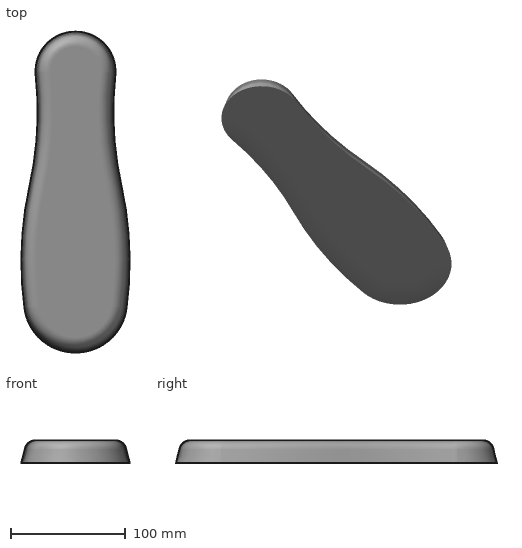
import cadquery as cq
import math

LENGTH = 279.81
WIDTH = 94.62
HEIGHT = 20.0

HEAD_RADIUS = 35.0
NECK_RADIUS = 295.0
BULGE_RADIUS = 305.0
TAIL_RADIUS = 45.0

DRAFT_ANGLE = 14.0
TOP_FILLET = 10.0


def point_between(start, end, distance):
    """Point at the given distance from start on the line towards end."""
    ratio = distance / math.dist(start, end)
    return (
        start[0] + ratio * (end[0] - start[0]),
        start[1] + ratio * (end[1] - start[1]),
    )


def bulge_center(tail):
    """Centre of the bulge arc: it reaches the full width and holds the tail arc inside it."""
    x = WIDTH / 2 - BULGE_RADIUS
    rise = math.sqrt((BULGE_RADIUS - TAIL_RADIUS) ** 2 - x**2)
    return (x, tail[1] + rise)


def neck_center(head, bulge):
    """Centre of the concave neck arc, which touches the head and bulge arcs from outside."""
    to_bulge = NECK_RADIUS + BULGE_RADIUS
    to_head = NECK_RADIUS + HEAD_RADIUS
    span = math.dist(bulge, head)
    along = (to_bulge**2 - to_head**2 + span**2) / (2 * span)
    across = math.sqrt(to_bulge**2 - along**2)
    foot = point_between(bulge, head, along)
    return (
        foot[0] + across * (head[1] - bulge[1]) / span,
        foot[1] - across * (head[0] - bulge[0]) / span,
    )


def mirrored(point):
    """The same point on the -X side."""
    return (-point[0], point[1])


def base_outline():
    """Closed outline of the base, symmetric about the Y axis, made of tangent arcs."""
    head = (0, LENGTH / 2 - HEAD_RADIUS)
    tail = (0, TAIL_RADIUS - LENGTH / 2)
    bulge = bulge_center(tail)
    neck = neck_center(head, bulge)

    head_side = (HEAD_RADIUS, head[1])
    head_to_neck = point_between(head, neck, HEAD_RADIUS)
    neck_waist = (neck[0] - NECK_RADIUS, neck[1])
    neck_to_bulge = point_between(bulge, neck, BULGE_RADIUS)
    bulge_side = (WIDTH / 2, bulge[1])
    bulge_to_tail = point_between(bulge, tail, BULGE_RADIUS)

    chord_middle = ((head_side[0] + head_to_neck[0]) / 2, (head_side[1] + head_to_neck[1]) / 2)
    head_flank = point_between(head, chord_middle, HEAD_RADIUS)

    return (
        cq.Workplane("XY")
        .moveTo(*mirrored(head_side))
        .threePointArc((0, LENGTH / 2), head_side)
        .threePointArc(head_flank, head_to_neck)
        .threePointArc(neck_waist, neck_to_bulge)
        .threePointArc(bulge_side, bulge_to_tail)
        .threePointArc((0, -LENGTH / 2), mirrored(bulge_to_tail))
        .threePointArc(mirrored(bulge_side), mirrored(neck_to_bulge))
        .threePointArc(mirrored(neck_waist), mirrored(head_to_neck))
        .threePointArc(mirrored(head_flank), mirrored(head_side))
        .close()
    )


tapered_body = base_outline().extrude(HEIGHT, taper=DRAFT_ANGLE)
result = tapered_body.faces(">Z").edges().fillet(TOP_FILLET)